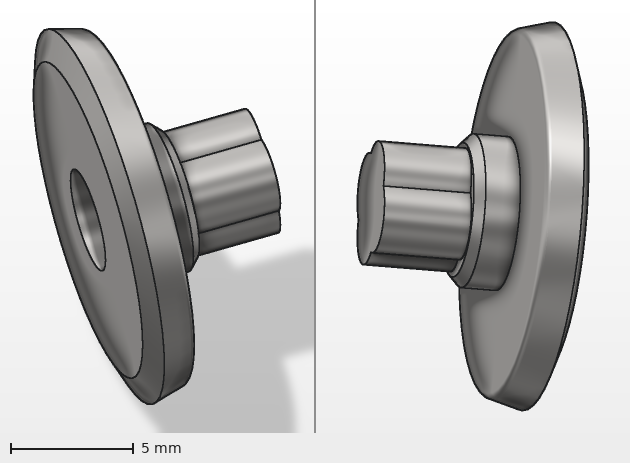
import cadquery as cq
import math

disc_radius = 7.95
front_face_radius = 6.7
front_bevel_depth = 0.5
disc_thickness = 2.0
rim_taper_angle = 15.0
back_edge_radius = 0.3

shoulder_radius = 3.15
shoulder_chamfer = 0.4
shoulder_end = 3.85

overall_length = 7.5
post_half_width = 2.33
lobe_offset = 0.75
lobe_radius = post_half_width - lobe_offset

bore_diameter = 4.3
bore_depth = 2.85


def make_disc_and_shoulder():
    """Revolve the disc and shoulder half-profile about the Y axis."""
    taper = math.radians(rim_taper_angle)
    round_start = disc_thickness - back_edge_radius * (1 - math.sin(taper))
    round_start_radius = disc_radius - (round_start - front_bevel_depth) * math.tan(taper)
    round_end_radius = round_start_radius - back_edge_radius * math.cos(taper)
    profile = (
        cq.Workplane("XY")
        .moveTo(0, 0)
        .lineTo(front_face_radius, 0)
        .lineTo(disc_radius, front_bevel_depth)
        .lineTo(round_start_radius, round_start)
        .radiusArc((round_end_radius, disc_thickness), -back_edge_radius)
        .lineTo(shoulder_radius, disc_thickness)
        .lineTo(shoulder_radius, shoulder_end - shoulder_chamfer)
        .lineTo(shoulder_radius - shoulder_chamfer, shoulder_end)
        .lineTo(0, shoulder_end)
        .close()
    )
    return profile.revolve(360, (0, 0, 0), (0, 1, 0))


def cylinder_along_y(x, z, radius, start, end):
    """Cylinder parallel to Y, centred on (x, z), from y = start to y = end."""
    base_center = cq.Vector(x, start, z)
    y_direction = cq.Vector(0, 1, 0)
    return cq.Workplane(cq.Solid.makeCylinder(radius, end - start, base_center, y_direction))


def add_post(body):
    """Join four overlapping cylinders that form the lobed post."""
    post_start = disc_thickness
    for x_side in (-1, 1):
        for z_side in (-1, 1):
            lobe = cylinder_along_y(
                x_side * lobe_offset, z_side * lobe_offset, lobe_radius, post_start, overall_length
            )
            body = body.union(lobe)
    return body


def cut_bore(body):
    """Cut the flat-bottomed bore from the front face."""
    return body.cut(cylinder_along_y(0, 0, bore_diameter / 2, 0, bore_depth))


result = cut_bore(add_post(make_disc_and_shoulder()))